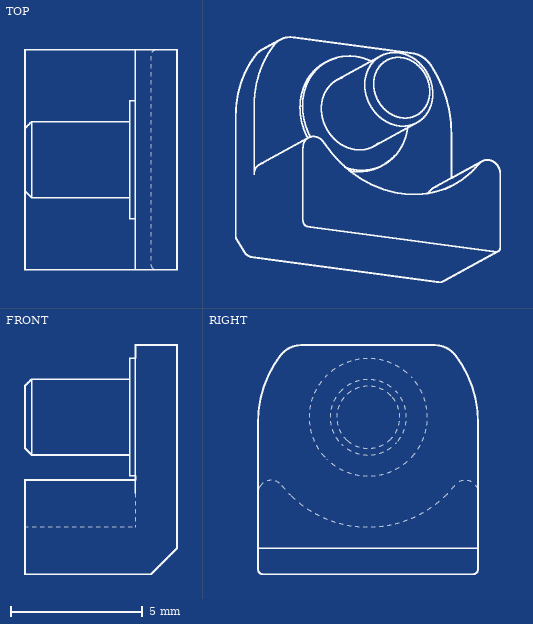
import cadquery as cq
import math

length = 5.8
width = 8.4
height = 8.75
half_width = width / 2

plate_thickness = 1.59
plate_front = length - plate_thickness
shoulder_radius = half_width
shoulder_z = 5.81
top_corner_radius = 1.015

pin_z = 6.0
trough_radius = 4.2
lip_radius = 0.5
bottom_edge_radius = 0.21
heel_chamfer = 1.0

pin_diameter = 2.9
pin_tip_chamfer = 0.25
collar_diameter = 4.5
collar_thickness = 0.22


def on_circle(center, radius, angle):
    """Point on a circle, with the angle in radians from +Y towards +Z."""
    return (center[0] + radius * math.cos(angle), center[1] + radius * math.sin(angle))


def mirrored(point):
    return (-point[0], point[1])


def make_plate():
    """Plate with arc shoulders blended into the flat top by tangent arcs."""
    shoulder_center = (0, shoulder_z)
    corner_center_z = height - top_corner_radius
    corner_center_y = math.sqrt(
        (shoulder_radius - top_corner_radius) ** 2 - (corner_center_z - shoulder_z) ** 2
    )
    corner_center = (corner_center_y, corner_center_z)
    blend_angle = math.atan2(corner_center_z - shoulder_z, corner_center_y)

    shoulder_mid = on_circle(shoulder_center, shoulder_radius, blend_angle / 2)
    blend = on_circle(shoulder_center, shoulder_radius, blend_angle)
    corner_mid = on_circle(corner_center, top_corner_radius, (blend_angle + math.pi / 2) / 2)
    top_end = (corner_center_y, height)

    return (
        cq.Workplane("YZ", origin=(plate_front, 0, 0))
        .moveTo(-half_width, 0)
        .lineTo(half_width, 0)
        .lineTo(half_width, shoulder_z)
        .threePointArc(shoulder_mid, blend)
        .threePointArc(corner_mid, top_end)
        .lineTo(*mirrored(top_end))
        .threePointArc(mirrored(corner_mid), mirrored(blend))
        .threePointArc(mirrored(shoulder_mid), (-half_width, shoulder_z))
        .close()
        .extrude(plate_thickness)
    )


def make_base():
    """Block whose trough meets the sides through rounded lips."""
    lip_center_y = half_width - lip_radius
    lip_drop = math.sqrt((trough_radius + lip_radius) ** 2 - lip_center_y**2)
    lip_center = (lip_center_y, pin_z - lip_drop)
    lip_angle = math.atan2(lip_drop, -lip_center_y)

    lip_start = (half_width, lip_center[1])
    lip_mid = on_circle(lip_center, lip_radius, lip_angle / 2)
    lip_end = on_circle(lip_center, lip_radius, lip_angle)
    trough_bottom = (0, pin_z - trough_radius)

    return (
        cq.Workplane("YZ")
        .moveTo(-half_width, 0)
        .lineTo(half_width, 0)
        .lineTo(*lip_start)
        .threePointArc(lip_mid, lip_end)
        .threePointArc(trough_bottom, mirrored(lip_end))
        .threePointArc(mirrored(lip_mid), mirrored(lip_start))
        .close()
        .extrude(plate_front)
    )


def round_bottom_edges(body):
    """Round the long bottom edges of a plate or block that runs along X."""
    return body.faces("<Z").edges("|X").fillet(bottom_edge_radius)


def make_heel_cutter():
    """Wedge that bevels the bottom edge at the +X end."""
    return (
        cq.Workplane("XZ")
        .moveTo(length - heel_chamfer, 0)
        .lineTo(length, 0)
        .lineTo(length, heel_chamfer)
        .close()
        .extrude(half_width, both=True)
    )


def make_pin():
    """Chamfered pin with a thin collar against the plate."""
    pin = (
        cq.Workplane("YZ", origin=(0, 0, pin_z))
        .circle(pin_diameter / 2)
        .extrude(plate_front)
        .faces("<X")
        .chamfer(pin_tip_chamfer)
    )
    collar = (
        cq.Workplane("YZ", origin=(plate_front - collar_thickness, 0, pin_z))
        .circle(collar_diameter / 2)
        .extrude(collar_thickness)
    )
    return pin.union(collar)


body = round_bottom_edges(make_plate()).union(round_bottom_edges(make_base()))
result = body.cut(make_heel_cutter()).union(make_pin())